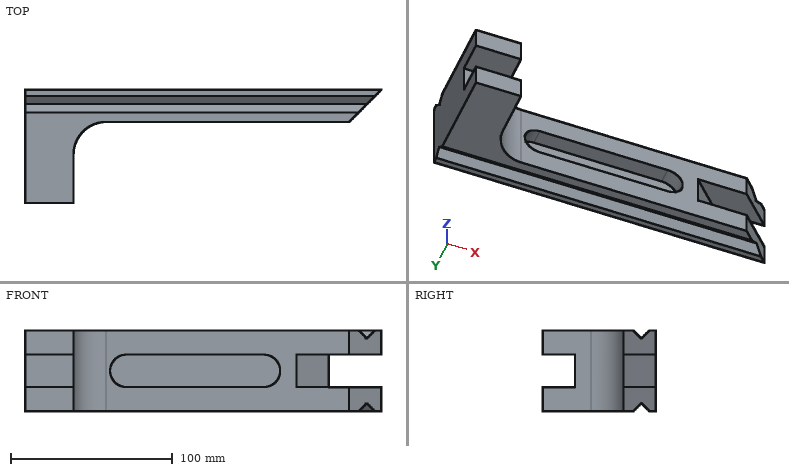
import cadquery as cq

LENGTH = 220.0
DEPTH = 70.0
HEIGHT = 50.0

ARM_THICKNESS = 20.0
LEG_THICKNESS = 30.0
INNER_RADIUS = 20.0
MITER = ARM_THICKNESS

SLOT_WIDTH = 20.0
LEG_SLOT_DEPTH = 20.0
END_SLOT_LENGTH = 32.45

POCKET_START = 52.5
POCKET_LENGTH = 105.0
POCKET_DEPTH = 10.0

GROOVE_SETBACK = 9.0
GROOVE_DEPTH = 5.0
GROOVE_HALF_WIDTH = GROOVE_DEPTH

ARM_FRONT = -ARM_THICKNESS
LEG_FRONT = -DEPTH


def make_body():
    """L-shaped plan with a rounded inner corner and a mitered arm end."""
    return (
        cq.Workplane("XY")
        .workplane(offset=-HEIGHT / 2)
        .moveTo(0, 0)
        .lineTo(LENGTH, 0)
        .lineTo(LENGTH - MITER, ARM_FRONT)
        .lineTo(LEG_THICKNESS + INNER_RADIUS, ARM_FRONT)
        .radiusArc((LEG_THICKNESS, ARM_FRONT - INNER_RADIUS), -INNER_RADIUS)
        .lineTo(LEG_THICKNESS, LEG_FRONT)
        .lineTo(0, LEG_FRONT)
        .close()
        .extrude(HEIGHT)
    )


def make_leg_slot():
    """Square slot through the tip of the leg along X."""
    return cq.Workplane("XY").box(
        LEG_THICKNESS, LEG_SLOT_DEPTH, SLOT_WIDTH, centered=(False, False, True)
    ).translate((0, LEG_FRONT, 0))


def make_end_slot():
    """Slot through the arm end, with its floor parallel to the miter."""
    floor_back = LENGTH - END_SLOT_LENGTH
    return (
        cq.Workplane("XY")
        .moveTo(floor_back, 0)
        .lineTo(LENGTH, 0)
        .lineTo(LENGTH, ARM_FRONT)
        .lineTo(floor_back - MITER, ARM_FRONT)
        .close()
        .extrude(SLOT_WIDTH / 2, both=True)
    )


def make_pocket():
    """Blind round-ended pocket sunk into the front face of the arm."""
    return (
        cq.Workplane("XZ", origin=(POCKET_START + POCKET_LENGTH / 2, ARM_FRONT, 0))
        .slot2D(POCKET_LENGTH, SLOT_WIDTH)
        .extrude(-POCKET_DEPTH)
    )


def make_groove(side):
    """V-groove along X in the top (side = 1) or bottom (side = -1) face."""
    face = side * HEIGHT / 2
    return (
        cq.Workplane("YZ")
        .moveTo(-GROOVE_SETBACK + GROOVE_HALF_WIDTH, face)
        .lineTo(-GROOVE_SETBACK, face - side * GROOVE_DEPTH)
        .lineTo(-GROOVE_SETBACK - GROOVE_HALF_WIDTH, face)
        .close()
        .extrude(LENGTH)
    )


result = make_body().cut(make_leg_slot()).cut(make_end_slot()).cut(make_pocket())
for side in (1, -1):
    result = result.cut(make_groove(side))